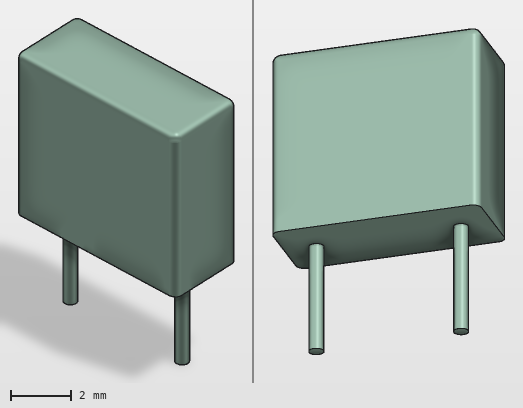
import cadquery as cq

case_length = 7.2
case_width = 3.0
case_height = 6.5
edge_radius = 0.3

lead_diameter = 0.5
lead_length = 3.8
lead_pitch = 5.0


def make_case():
    """Box standing on Z = 0 with every edge rounded except those of the bottom face."""
    box = cq.Workplane("XY").box(case_length, case_width, case_height, centered=(True, True, False))
    return box.edges("|Z or >Z").fillet(edge_radius)


def make_lead(x_position):
    """Straight round lead hanging from the bottom face of the case."""
    return (
        cq.Workplane("XY")
        .center(x_position, 0)
        .circle(lead_diameter / 2)
        .extrude(-lead_length)
    )


case = make_case()
leads = [make_lead(side * lead_pitch / 2) for side in (-1, 1)]

result = cq.Compound.makeCompound([case.val(), *[lead.val() for lead in leads]])